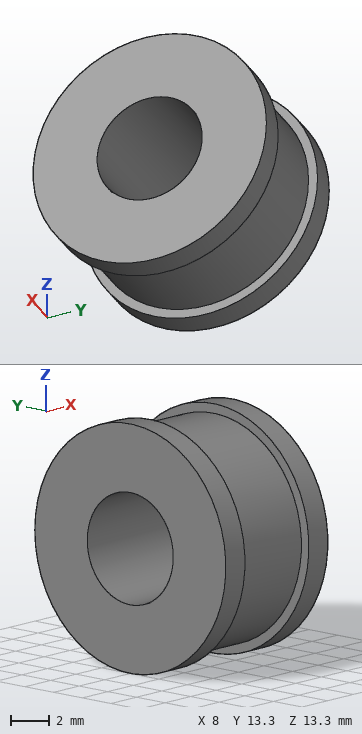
import cadquery as cq

flange_diameter = 13.34
groove_diameter = 12.31
bore_diameter = 6.0
roller_width = 8.0
groove_width = 5.0

flange_width = (roller_width - groove_width) / 2


def ring(start_x, width, outer_diameter):
    """Make a bored disc that extends along +X from start_x."""
    return (
        cq.Workplane("YZ", origin=(start_x, 0, 0))
        .circle(outer_diameter / 2)
        .circle(bore_diameter / 2)
        .extrude(width)
    )


left_flange = ring(-roller_width / 2, flange_width, flange_diameter)
barrel = ring(-groove_width / 2, groove_width, groove_diameter)
right_flange = ring(groove_width / 2, flange_width, flange_diameter)

result = left_flange.union(barrel).union(right_flange)